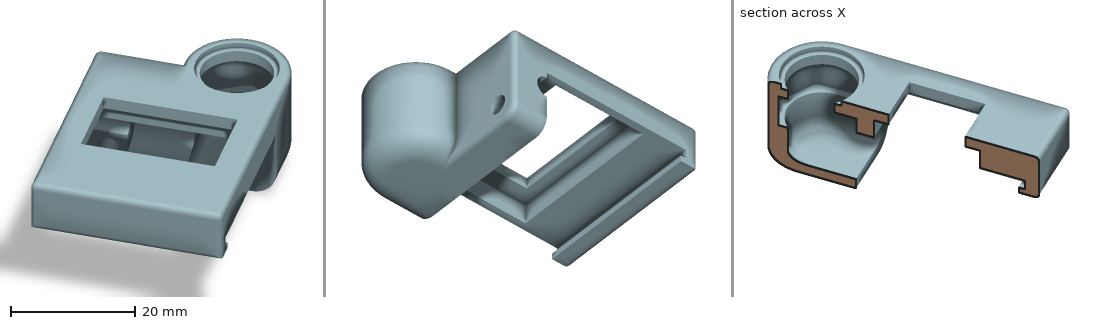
import cadquery as cq
import math

width = 32.0
length = 48.8
height = 18.0
edge_radius = 1.0

block_front = 32.1
block_rear = 39.05
plate_depth = 5.95
block_left_radius = 2.55
hook_depth = 8.85
hook_length = 3.6
hook_wall = 2.6
hook_toe_height = 1.15

window_size = (22.45, 13.35)
window_center = (width / 2, 19.7)
window_skin = 2.2
recess_size = (29.2, 18.55)

boss_radius = length - 40.0
boss_x = width - boss_radius
boss_y = length - boss_radius
boss_bottom_radius = 4.0

counterbore_diameter = 13.8
counterbore_depth = 1.0
bore_diameter = 12.0
bore_depth = 3.0
pocket_floor = 2.0
pocket_floor_radius = 2.0
ledge_height = 8.95
nut_half_width = 7.15
nut_corner_radius = 1.55

channel_z = 9.0
groove_radius = 2.0
groove_length = 7.12
channel_radius = 5.25
rib_x = 3.7
rib_width = 0.4
rib_height = 0.15

screw_diameter = 3.5
screw_x = 4.0
screw_z = 4.0


def rounded_body():
    """Plate, hook and block as one profile swept across the width."""
    plate_bottom = height - plate_depth
    hook_bottom = height - hook_depth
    toe_top = hook_bottom + hook_toe_height
    body = (
        cq.Workplane("YZ")
        .moveTo(0, height)
        .lineTo(0, hook_bottom)
        .lineTo(hook_length, hook_bottom)
        .lineTo(hook_length, toe_top)
        .lineTo(hook_wall, toe_top)
        .lineTo(hook_wall, plate_bottom)
        .lineTo(block_front, plate_bottom)
        .lineTo(block_front, 0)
        .lineTo(block_rear, 0)
        .lineTo(block_rear, height)
        .close()
        .extrude(width)
    )
    body = body.edges("|Y and <Z").edges("<X").fillet(block_left_radius)
    body = body.edges("|Y and <Z").edges(">X").fillet(boss_bottom_radius)
    body = body.faces("<Y or >Y or >Z").edges().fillet(edge_radius)
    return body


def slot_prism(radius, bottom, top):
    """Round-ended slot about the boss axis, open at the block front."""
    return (
        cq.Workplane("XY", origin=(boss_x, 0, bottom))
        .moveTo(-radius, block_front)
        .lineTo(-radius, boss_y)
        .threePointArc((0, boss_y + radius), (radius, boss_y))
        .lineTo(radius, block_front)
        .close()
        .extrude(top - bottom)
    )


def nut_prism():
    """Hexagonal nut pocket with flats facing X, open at the block front."""
    corner_reach = nut_half_width / math.cos(math.pi / 6)
    flat_end = boss_y + corner_reach / 2
    prism = (
        cq.Workplane("XY", origin=(boss_x, 0, ledge_height))
        .moveTo(-nut_half_width, block_front)
        .lineTo(-nut_half_width, flat_end)
        .lineTo(0, boss_y + corner_reach)
        .lineTo(nut_half_width, flat_end)
        .lineTo(nut_half_width, block_front)
        .close()
        .extrude(height - bore_depth - ledge_height)
    )
    return prism.edges("|Z and (not <Y)").fillet(nut_corner_radius)


def round_slot_rim(slot, face, radius):
    """Round the sides and the round end of one slot face."""
    return slot.faces(face).edges("not <Y").fillet(radius)


def boss():
    blank = slot_prism(boss_radius, 0, height)
    blank = round_slot_rim(blank, "<Z", boss_bottom_radius)
    return round_slot_rim(blank, ">Z", edge_radius)


def boss_cavity():
    lower = slot_prism(bore_diameter / 2, pocket_floor, height - bore_depth)
    lower = round_slot_rim(lower, "<Z", pocket_floor_radius)
    top = cq.Workplane("XY", origin=(boss_x, boss_y, height))
    bore = top.circle(bore_diameter / 2).extrude(-bore_depth)
    counterbore = top.circle(counterbore_diameter / 2).extrude(-counterbore_depth)
    return lower.union(nut_prism()).union(bore).union(counterbore)


def cross_cylinder(start, end, radius):
    """Cylinder along X lying on the front face of the block."""
    plane = cq.Workplane("YZ", origin=(start, block_front, channel_z))
    return plane.circle(radius).extrude(end - start)


def channel():
    groove = cross_cylinder(0, groove_length, groove_radius)
    rib_end = rib_x + rib_width
    rib_band = cross_cylinder(rib_x, rib_end, groove_radius)
    rib_core = cross_cylinder(rib_x, rib_end, groove_radius - rib_height)
    groove = groove.cut(rib_band.cut(rib_core))
    wide = cross_cylinder(groove_length, boss_x, channel_radius)
    behind = cq.Workplane("XY").box(width, block_rear, height, centered=False)
    behind = behind.translate((0, block_front, 0))
    return groove.union(wide).intersect(behind)


def window():
    opening = (
        cq.Workplane("XY", origin=(*window_center, height))
        .rect(*window_size)
        .extrude(-plate_depth)
    )
    recess = (
        cq.Workplane("XY", origin=(*window_center, height - window_skin))
        .rect(*recess_size)
        .extrude(window_skin - plate_depth)
    )
    return opening.union(recess)


def screw_hole():
    plane = cq.Workplane("XZ", origin=(screw_x, block_front, screw_z))
    return plane.circle(screw_diameter / 2).extrude(block_front - block_rear)


result = (
    rounded_body()
    .union(boss())
    .cut(boss_cavity())
    .cut(channel())
    .cut(window())
    .cut(screw_hole())
)